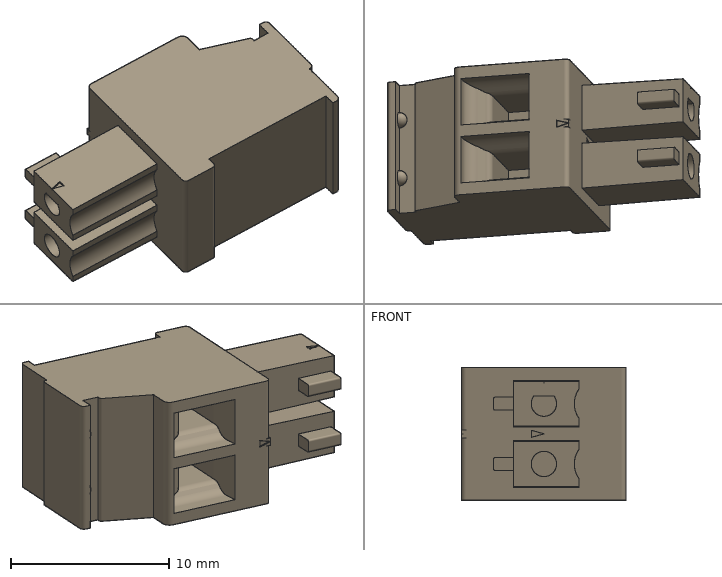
import cadquery as cq
import math


WIDTH = 10.4
HEIGHT = 8.41
LENGTH = 19.1
PLUG_LENGTH = 6.6
BODY_LENGTH = LENGTH - PLUG_LENGTH
POLE_PITCH = 3.81
POLE_LEVELS = [-POLE_PITCH / 2, POLE_PITCH / 2]

ENTRY_BLOCK_LENGTH = 7.58
SLOPE_START_X = 1.67
SLOPE_END_X = 2.81
NECK_X = 3.1
NECK_START_Y = 10.82
LIP_LEFT_X = 2.18
LIP_UNDERSIDE_Y = 11.9
LIP_STEP_X = 7.14
LIP_STEP_HEIGHT = 0.3
RIM_UNDERSIDE_Y = 11.62
BACK_RECESS = 0.74
BACK_FOOT_LENGTH = 2.45
FRONT_CORNER_RADIUS = 0.3
ENTRY_CORNER_RADIUS = 0.47
FOOT_CORNER_RADIUS = 0.25
LIP_CORNER_RADIUS = 0.3
LIP_STEP_RADIUS = 0.25
SLOPE_TOP_RADIUS = 0.2

EDGE_SEARCH_REACH = 0.02

CORNER_KEY_HEIGHT = 0.5

BUMP_RADIUS = 0.5

MOUTH_START_Y = 2.59
MOUTH_END_Y = 7.04
MOUTH_HEIGHT = 3.05
SLOPE_DEPTH = 1.54
THROAT_DEPTH = 1.75
CHAMBER_DEPTH = 2.2
FLOOR_DEPTH = 6.0
SIDE_ARC_DEPTH = 0.85
SIDE_INSETS = (0.285, 0.525, 0.67)
REAR_ARC_DEPTH = 0.61
REAR_INSETS = (0.69, 1.15, 1.51)
FRONT_INSET = 0.26

PLUG_START_X = 3.29
PLUG_END_X = 7.44
PLUG_BASE_HEIGHT = 2.95
PLUG_TIP_HEIGHT = 2.83
BORE_X = 5.21
BORE_DIAMETER = 1.6
BORE_FLAT_OFFSET = 0.49
GROOVE_WIDTH = 1.88
GROOVE_DEPTH = 0.31

TAB_REACH = 1.27
TAB_HEIGHT = 0.82
TAB_LENGTH = 2.38
TAB_SETBACK = 0.25
TAB_EDGE_RADIUS = 0.12

MARKER_LENGTH = 0.78
MARKER_WIDTH = 0.44
MARKER_DEPTH = 0.1


def box(x_range, y_range, z_range):
    """Box spanning the given (start, end) ranges."""
    starts, ends = zip(x_range, y_range, z_range)
    sizes = [end - start for start, end in zip(starts, ends)]
    return cq.Workplane("XY").box(*sizes, centered=False).translate(starts)


def round_upright_edge(body, x, y, radius):
    """Round the edge parallel to Z that passes through (x, y)."""
    near_edge = cq.selectors.BoxSelector(
        (x - EDGE_SEARCH_REACH, y - EDGE_SEARCH_REACH, -HEIGHT),
        (x + EDGE_SEARCH_REACH, y + EDGE_SEARCH_REACH, HEIGHT),
    )
    return body.edges("|Z").edges(near_edge).fillet(radius)


def make_housing():
    back_x = WIDTH - BACK_RECESS
    rim_y = BODY_LENGTH - LIP_STEP_HEIGHT
    outline = [
        (0, 0),
        (WIDTH, 0),
        (WIDTH, BACK_FOOT_LENGTH),
        (back_x, BACK_FOOT_LENGTH),
        (back_x, RIM_UNDERSIDE_Y),
        (WIDTH, RIM_UNDERSIDE_Y),
        (WIDTH, rim_y),
        (LIP_STEP_X, rim_y),
        (LIP_STEP_X, BODY_LENGTH),
        (LIP_LEFT_X, BODY_LENGTH),
        (LIP_LEFT_X, LIP_UNDERSIDE_Y),
        (NECK_X, LIP_UNDERSIDE_Y),
        (NECK_X, NECK_START_Y),
        (SLOPE_END_X, NECK_START_Y),
        (SLOPE_START_X, ENTRY_BLOCK_LENGTH),
        (0, ENTRY_BLOCK_LENGTH),
    ]
    housing = cq.Workplane("XY").polyline(outline).close().extrude(HEIGHT / 2, both=True)
    rounded_corners = [
        (0, 0, FRONT_CORNER_RADIUS),
        (WIDTH, 0, FRONT_CORNER_RADIUS),
        (WIDTH, BACK_FOOT_LENGTH, FOOT_CORNER_RADIUS),
        (WIDTH, rim_y, LIP_CORNER_RADIUS),
        (LIP_STEP_X, BODY_LENGTH, LIP_STEP_RADIUS),
        (LIP_LEFT_X, BODY_LENGTH, LIP_CORNER_RADIUS),
        (SLOPE_END_X, NECK_START_Y, SLOPE_TOP_RADIUS),
        (0, ENTRY_BLOCK_LENGTH, ENTRY_CORNER_RADIUS),
    ]
    for x, y, radius in rounded_corners:
        housing = round_upright_edge(housing, x, y, radius)
    key_side = (0, FRONT_CORNER_RADIUS)
    key_levels = (-CORNER_KEY_HEIGHT / 2, CORNER_KEY_HEIGHT / 2)
    return housing.union(box(key_side, key_side, key_levels))


def arc_middle(tangent_point, end):
    """Middle of the arc that leaves tangent_point along X and reaches end."""
    run = end[0] - tangent_point[0]
    rise = end[1] - tangent_point[1]
    radius = (run**2 + rise**2) / (2 * rise)
    half_turn = math.atan2(abs(rise), abs(run))
    return (
        tangent_point[0] + math.copysign(abs(radius) * math.sin(half_turn), run),
        tangent_point[1] + radius * (1 - math.cos(half_turn)),
    )


def add_funnel_wall(sketch, mouth, arc_depth, insets, inward):
    """Draw a wall from the mouth to the floor: straight, hollow arc, slope, crowned arc, straight."""
    arc_start = (arc_depth, mouth)
    slope_start = (SLOPE_DEPTH, mouth + inward * insets[0])
    slope_end = (THROAT_DEPTH, mouth + inward * insets[1])
    chamber_start = (CHAMBER_DEPTH, mouth + inward * insets[2])
    return (
        sketch.lineTo(*arc_start)
        .threePointArc(arc_middle(arc_start, slope_start), slope_start)
        .lineTo(*slope_end)
        .threePointArc(arc_middle(chamber_start, slope_end), chamber_start)
        .lineTo(FLOOR_DEPTH, chamber_start[1])
    )


def make_wire_funnel():
    """Wire entry for a pole at Z = 0, where the XY and XZ profiles overlap."""
    front_wall_y = MOUTH_START_Y + FRONT_INSET
    lengthwise = cq.Workplane("XY").moveTo(0, MOUTH_END_Y)
    lengthwise = add_funnel_wall(lengthwise, MOUTH_END_Y, REAR_ARC_DEPTH, REAR_INSETS, -1)
    lengthwise = (
        lengthwise.lineTo(FLOOR_DEPTH, front_wall_y)
        .lineTo(CHAMBER_DEPTH, front_wall_y)
        .lineTo(0, MOUTH_START_Y)
        .close()
        .extrude(MOUTH_HEIGHT / 2, both=True)
    )
    half_mouth = MOUTH_HEIGHT / 2
    upper_half = cq.Workplane("XZ").moveTo(0, half_mouth)
    upper_half = add_funnel_wall(upper_half, half_mouth, SIDE_ARC_DEPTH, SIDE_INSETS, -1)
    upper_half = upper_half.lineTo(FLOOR_DEPTH, 0).lineTo(0, 0).close().extrude(-BODY_LENGTH)
    crosswise = upper_half.union(upper_half.mirror("XY"))
    return lengthwise.intersect(crosswise)


def make_bump():
    """Ball in the corner between the lip and the neck."""
    return cq.Workplane("XY").sphere(BUMP_RADIUS).translate((NECK_X, LIP_UNDERSIDE_Y, 0))


def make_plug():
    """Tapered plug for a pole at Z = 0, with a groove along its back and a coding tab."""
    base = PLUG_BASE_HEIGHT / 2
    tip = PLUG_TIP_HEIGHT / 2
    side = [(0, -base), (0, base), (-PLUG_LENGTH, tip), (-PLUG_LENGTH, -tip)]
    plug = (
        cq.Workplane("YZ", origin=(PLUG_START_X, 0, 0))
        .polyline(side)
        .close()
        .extrude(PLUG_END_X - PLUG_START_X)
    )
    groove_radius = ((GROOVE_WIDTH / 2) ** 2 + GROOVE_DEPTH**2) / (2 * GROOVE_DEPTH)
    groove_axis_x = PLUG_END_X - GROOVE_DEPTH + groove_radius
    groove = (
        cq.Workplane("XZ", origin=(groove_axis_x, 0, 0)).circle(groove_radius).extrude(PLUG_LENGTH)
    )
    return plug.cut(groove).union(make_tab())


def make_tab():
    front_y = TAB_SETBACK - PLUG_LENGTH
    tab = box(
        (PLUG_START_X - TAB_REACH, PLUG_START_X),
        (front_y, front_y + TAB_LENGTH),
        (-TAB_HEIGHT / 2, TAB_HEIGHT / 2),
    )
    return tab.faces("<X").edges("|Y").fillet(TAB_EDGE_RADIUS)


def make_contact_bore():
    return cq.Workplane("XZ", origin=(BORE_X, 0, 0)).circle(BORE_DIAMETER / 2).extrude(PLUG_LENGTH)


def make_flat_topped_bore():
    """Contact bore whose roof is flattened above its axis."""
    bore_x_range = (BORE_X - BORE_DIAMETER, BORE_X + BORE_DIAMETER)
    roof = box(bore_x_range, (-PLUG_LENGTH, 0), (BORE_FLAT_OFFSET, BORE_DIAMETER))
    return make_contact_bore().cut(roof)


def make_marker(plane):
    """Triangle with its tip at the plane's origin, pointing along the plane's x direction."""
    half_width = MARKER_WIDTH / 2
    return (
        cq.Workplane(plane)
        .polyline([(0, 0), (-MARKER_LENGTH, half_width), (-MARKER_LENGTH, -half_width)])
        .close()
        .extrude(-MARKER_DEPTH)
    )


def make_markers():
    toward_plugs = (0, -1, 0)
    entry_side = cq.Plane(origin=(0, 0, 0), xDir=toward_plugs, normal=(-1, 0, 0))
    plug_side = cq.Plane(origin=(BORE_X, 0, 0), xDir=(1, 0, 0), normal=(0, -1, 0))
    slope = (PLUG_BASE_HEIGHT - PLUG_TIP_HEIGHT) / 2 / PLUG_LENGTH
    plug_tip_z = POLE_LEVELS[-1] + PLUG_TIP_HEIGHT / 2
    plug_top = cq.Plane(
        origin=(BORE_X, -PLUG_LENGTH, plug_tip_z), xDir=(0, -1, -slope), normal=(0, -slope, 1)
    )
    return [make_marker(plane) for plane in (entry_side, plug_side, plug_top)]


result = make_housing()
for level in POLE_LEVELS:
    at_pole = (0, 0, level)
    is_upper_pole = level == POLE_LEVELS[-1]
    bore = make_flat_topped_bore() if is_upper_pole else make_contact_bore()
    result = result.cut(make_wire_funnel().translate(at_pole))
    result = result.union(make_bump().translate(at_pole))
    result = result.union(make_plug().translate(at_pole))
    result = result.cut(bore.translate(at_pole))
for marker in make_markers():
    result = result.cut(marker)